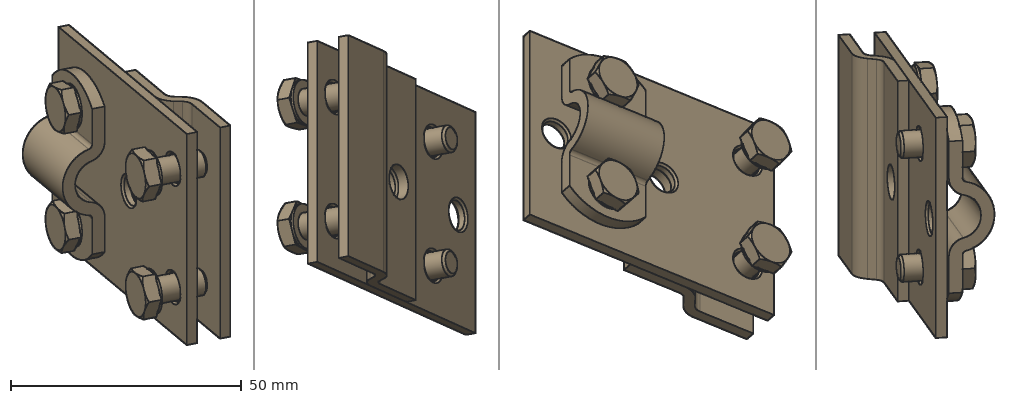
import cadquery as cq
import math


plate_length = 64.0
plate_height = 50.0
sheet_thickness = 2.5
edge_hole_x = 7.0
middle_hole_x = 35.0
plate_hole_diameter = 6.65
hole_chamfer = 0.5

clamp_bolt_x = 17.0
end_bolt_x = 57.0
bolt_z = 14.0
shank_diameter = 6.0
shank_length = 12.0
shank_chamfer = 0.6
head_across_flats = 10.0
head_height = 4.0
collar_height = 0.6
head_chamfer_angle = 30.0
clamp_bolt_turn = 7.5
end_bolt_turn = 3.3

clamp_gap = 1.9
clamp_thickness = 3.0
clamp_width = 20.0
clamp_end_z = 21.5
clamp_corner_z = 17.2
clamp_crest = 12.0
saddle_outer_radius = 8.0
foot_outer_radius = 1.0

bracket_start_x = 28.0
bracket_offset = 5.5
bracket_hole_diameter = plate_hole_diameter + 2 * hole_chamfer
bend_centre_x = 46.2
bend_angle = 60.0
bend_inner_radius = 2.5

clamp_front_y = -(clamp_gap + clamp_thickness)


def y_hole(diameter, x, z):
    """Cylinder along Y, long enough to cut through every sheet."""
    length = 2 * plate_length
    start = cq.Vector(x, -plate_length, z)
    return cq.Workplane(obj=cq.Solid.makeCylinder(diameter / 2, length, start, cq.Vector(0, 1, 0)))


def make_plate():
    plate = cq.Workplane("XY").box(
        plate_length, sheet_thickness, plate_height, centered=(False, False, True)
    )
    hole_centres = [(edge_hole_x, 0), (middle_hole_x, 0)]
    for x in (clamp_bolt_x, end_bolt_x):
        hole_centres += [(x, -bolt_z), (x, bolt_z)]
    for x, z in hole_centres:
        plate = plate.cut(y_hole(plate_hole_diameter, x, z))
    hole_rims = plate.faces("<Y or >Y").edges("%CIRCLE")
    return hole_rims.chamfer(hole_chamfer)


def make_bracket():
    """Joggled strip: a leg on the plate, two opposite bends, and a leg held off the plate."""
    angle = math.radians(bend_angle)
    bend_radius = bend_inner_radius + sheet_thickness / 2
    web_rise = bracket_offset - 2 * bend_radius * (1 - math.cos(angle))
    web_run = web_rise / math.tan(angle)
    half_run = bend_radius * math.sin(angle) + web_run / 2

    lower_y = sheet_thickness + sheet_thickness / 2
    path = (
        cq.Workplane("XY")
        .moveTo(bracket_start_x, lower_y)
        .lineTo(bend_centre_x - half_run, lower_y)
        .radiusArc((bend_centre_x - web_run / 2, lower_y + (bracket_offset - web_rise) / 2), -bend_radius)
        .line(web_run, web_rise)
        .radiusArc((bend_centre_x + half_run, lower_y + bracket_offset), bend_radius)
        .lineTo(plate_length, lower_y + bracket_offset)
    )
    bracket = (
        cq.Workplane("YZ", origin=(bracket_start_x, lower_y, 0))
        .rect(sheet_thickness, plate_height)
        .sweep(path)
    )
    return bracket.cut(y_hole(bracket_hole_diameter, middle_hole_x, 0))


def make_clamp():
    """Strap with a half-round saddle between two flat feet."""
    saddle_inner_radius = saddle_outer_radius - clamp_thickness
    foot_inner_radius = foot_outer_radius + clamp_thickness
    saddle_y = saddle_outer_radius - clamp_crest
    foot_bend_y = clamp_front_y - foot_outer_radius

    centre_distance = saddle_outer_radius + foot_outer_radius
    drop = saddle_y - foot_bend_y
    foot_bend_z = math.sqrt(centre_distance**2 - drop**2)

    def tangent_point(saddle_radius, side):
        """Point where the saddle arc of this radius runs into the foot bend, as (Y, Z)."""
        share = saddle_radius / centre_distance
        return (saddle_y - drop * share, side * foot_bend_z * share)

    profile = (
        cq.Workplane("YZ", origin=(clamp_bolt_x - clamp_width / 2, 0, 0))
        .moveTo(clamp_front_y, clamp_end_z)
        .lineTo(clamp_front_y, foot_bend_z)
        .radiusArc(tangent_point(saddle_outer_radius, 1), foot_outer_radius)
        .threePointArc((-clamp_crest, 0), tangent_point(saddle_outer_radius, -1))
        .radiusArc((clamp_front_y, -foot_bend_z), foot_outer_radius)
        .lineTo(clamp_front_y, -clamp_end_z)
        .lineTo(-clamp_gap, -clamp_end_z)
        .lineTo(-clamp_gap, -foot_bend_z)
        .radiusArc(tangent_point(saddle_inner_radius, -1), -foot_inner_radius)
        .threePointArc((saddle_y - saddle_inner_radius, 0), tangent_point(saddle_inner_radius, 1))
        .radiusArc((-clamp_gap, foot_bend_z), -foot_inner_radius)
        .lineTo(-clamp_gap, clamp_end_z)
        .close()
    )
    strap = profile.extrude(clamp_width)

    half_width = clamp_width / 2
    outline = (
        cq.Workplane("XZ", origin=(clamp_bolt_x, 0, 0))
        .moveTo(-half_width, -clamp_corner_z)
        .lineTo(-half_width, clamp_corner_z)
        .threePointArc((0, clamp_end_z), (half_width, clamp_corner_z))
        .lineTo(half_width, -clamp_corner_z)
        .threePointArc((0, -clamp_end_z), (-half_width, -clamp_corner_z))
        .close()
        .extrude(clamp_crest)
    )
    clamp = strap.intersect(outline)
    for z in (-bolt_z, bolt_z):
        clamp = clamp.cut(y_hole(shank_diameter, clamp_bolt_x, z))
    return clamp


def make_bolt(x, z, turn):
    """Hexagon bolt pointing to +Y, with its bearing face level with the clamp front."""
    flat_radius = head_across_flats / 2
    corner_radius = flat_radius / math.cos(math.pi / 6)
    chamfer_depth = (corner_radius - flat_radius) * math.tan(math.radians(head_chamfer_angle))

    hexagon = (
        cq.Workplane("XY")
        .polygon(6, 2 * corner_radius)
        .extrude(head_height - collar_height)
    )
    blank = (
        cq.Workplane("XY")
        .circle(corner_radius)
        .extrude(head_height - collar_height)
        .faces("<Z")
        .chamfer(chamfer_depth, corner_radius - flat_radius)
    )
    collar = (
        cq.Workplane("XY", origin=(0, 0, head_height - collar_height))
        .circle(flat_radius)
        .extrude(collar_height)
    )
    shank = (
        cq.Workplane("XY", origin=(0, 0, head_height))
        .circle(shank_diameter / 2)
        .extrude(shank_length)
        .faces(">Z")
        .chamfer(shank_chamfer)
    )
    bolt = hexagon.intersect(blank).union(collar).union(shank)
    return (
        bolt.rotate((0, 0, 0), (0, 0, 1), turn)
        .rotate((0, 0, 0), (1, 0, 0), -90)
        .translate((x, clamp_front_y - head_height, z))
    )


plate = make_plate()
bracket = make_bracket()
clamp = make_clamp()

bolts = []
for bolt_x, bolt_turn in ((clamp_bolt_x, clamp_bolt_turn), (end_bolt_x, -end_bolt_turn)):
    for side in (-1, 1):
        bolts.append(make_bolt(bolt_x, side * bolt_z, -side * bolt_turn))

result = cq.Compound.makeCompound(
    [plate.val(), bracket.val(), clamp.val(), *[bolt.val() for bolt in bolts]]
)